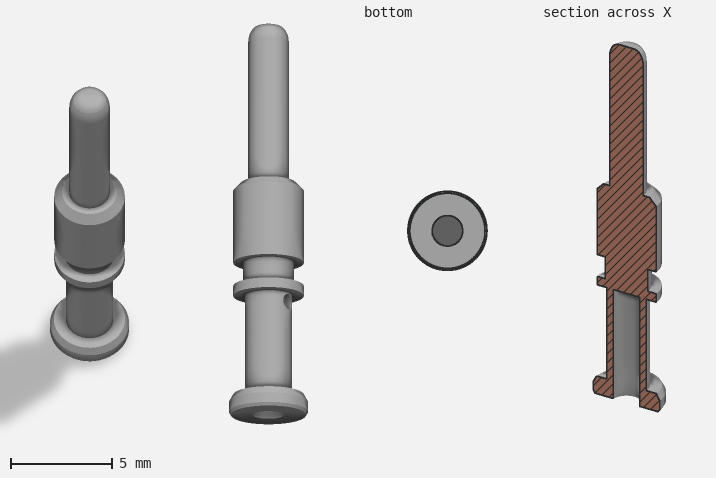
import cadquery as cq
import math

total_length = 19.8
collar_top = 11.8
collar_bottom = 7.75
ring_top = 6.55
ring_bottom = 6.05
foot_top = 1.0

pin_radius = 1.0
collar_radius = 1.75
neck_radius = 1.25
barrel_radius = 1.17
foot_radius = 1.95

collar_chamfer = 0.4
foot_top_chamfer_height = 0.35
foot_top_chamfer_width = 0.2
foot_bottom_chamfer_height = 0.15
foot_bottom_chamfer_width = 0.1

tip_height = 0.8
tip_blend_radius = 0.5

bore_radius = 0.75
bore_depth = ring_bottom
hole_radius = 0.4
hole_height = 5.6
hole_angle = 135.0


def turned_body():
    """Revolve the stepped outline of the contact about Z."""
    tip_base = total_length - tip_height
    blend_center_offset = pin_radius - tip_blend_radius
    blend_center_height = tip_height - tip_blend_radius
    flat_radius = math.sqrt(blend_center_offset**2 - blend_center_height**2)
    blend_center_z = tip_base + blend_center_height
    blend_angle = math.atan2(blend_center_height, flat_radius)

    def sphere_point(angle):
        return pin_radius * math.cos(angle), tip_base + pin_radius * math.sin(angle)

    middle_angle = (blend_angle + math.pi / 2) / 2
    blend_middle = (
        flat_radius + tip_blend_radius * math.cos(middle_angle),
        blend_center_z + tip_blend_radius * math.sin(middle_angle),
    )

    outline = (
        cq.Workplane("XZ")
        .moveTo(0, 0)
        .lineTo(foot_radius - foot_bottom_chamfer_width, 0)
        .lineTo(foot_radius, foot_bottom_chamfer_height)
        .lineTo(foot_radius, foot_top - foot_top_chamfer_height)
        .lineTo(foot_radius - foot_top_chamfer_width, foot_top)
        .lineTo(barrel_radius, foot_top)
        .lineTo(barrel_radius, ring_bottom)
        .lineTo(collar_radius, ring_bottom)
        .lineTo(collar_radius, ring_top)
        .lineTo(neck_radius, ring_top)
        .lineTo(neck_radius, collar_bottom)
        .lineTo(collar_radius, collar_bottom)
        .lineTo(collar_radius, collar_top - collar_chamfer)
        .lineTo(collar_radius - collar_chamfer, collar_top)
        .lineTo(pin_radius, collar_top)
        .lineTo(pin_radius, tip_base)
        .threePointArc(sphere_point(blend_angle / 2), sphere_point(blend_angle))
        .threePointArc(blend_middle, (flat_radius, total_length))
        .lineTo(0, total_length)
        .close()
    )
    return outline.revolve(360, (0, 0), (0, 1))


def crimp_bore():
    """Blind bore entering from the bottom face."""
    return cq.Workplane("XY").circle(bore_radius).extrude(bore_depth)


def inspection_hole():
    """Radial hole through one barrel wall into the bore."""
    hole = cq.Workplane("YZ").center(0, hole_height).circle(hole_radius).extrude(foot_radius)
    return hole.rotate((0, 0, 0), (0, 0, 1), hole_angle)


result = turned_body().cut(crimp_bore()).cut(inspection_hole())